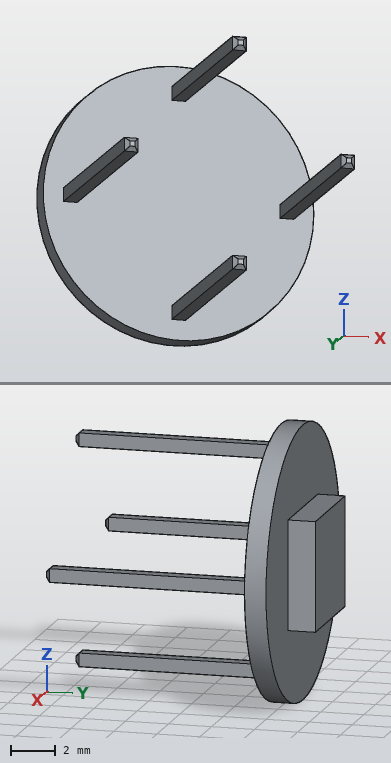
import cadquery as cq

board_diameter = 12.7
board_thickness = 1.0

body_side = 5.1
body_height = 1.27

overall_depth = 11.79
pin_length = overall_depth - board_thickness - body_height
pin_circle_radius = 5.08
pin_side = 0.64
tip_length = 0.2
tip_side = 0.24


def make_pin(x, z):
    """Square pin running from the board towards -Y, ending in a tapered tip."""
    shaft_length = pin_length - tip_length
    shaft = cq.Workplane("XZ").center(x, z).rect(pin_side, pin_side).extrude(shaft_length)
    tip = (
        cq.Workplane("XZ", origin=(0, -shaft_length, 0))
        .center(x, z)
        .rect(pin_side, pin_side)
        .workplane(offset=tip_length)
        .rect(tip_side, tip_side)
        .loft(ruled=True)
    )
    return shaft.union(tip)


board = cq.Workplane("XZ").circle(board_diameter / 2).extrude(-board_thickness)
body = (
    cq.Workplane("XZ", origin=(0, board_thickness, 0))
    .rect(body_side, body_side)
    .extrude(-body_height)
)

result = board.union(body)
for direction_x, direction_z in ((1, 0), (0, 1), (-1, 0), (0, -1)):
    result = result.union(make_pin(direction_x * pin_circle_radius, direction_z * pin_circle_radius))